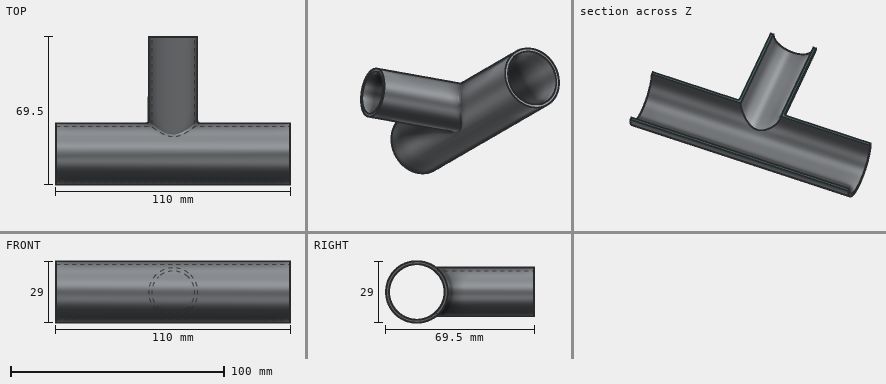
import cadquery as cq

run_length = 110.0
run_outer_diameter = 29.0
run_inner_diameter = 26.0
branch_outer_diameter = 23.0
branch_inner_diameter = 20.0
branch_reach = run_length / 2
junction_fillet_radius = 1.0


def run_cylinder(diameter):
    """Cylinder along X, centred on the origin, as long as the run pipe."""
    return cq.Workplane("YZ").circle(diameter / 2).extrude(run_length / 2, both=True)


def branch_cylinder(diameter):
    """Cylinder along +Y, from the run axis to the end of the branch."""
    return cq.Workplane("XZ").circle(diameter / 2).extrude(-branch_reach)


outer_tee = run_cylinder(run_outer_diameter).union(branch_cylinder(branch_outer_diameter))
junction_box = cq.selectors.BoxSelector(
    (-branch_outer_diameter, 0, -run_outer_diameter),
    (branch_outer_diameter, run_outer_diameter / 2, run_outer_diameter),
)
outer_tee = outer_tee.edges(junction_box).fillet(junction_fillet_radius)

bores = run_cylinder(run_inner_diameter).union(branch_cylinder(branch_inner_diameter))

result = outer_tee.cut(bores)